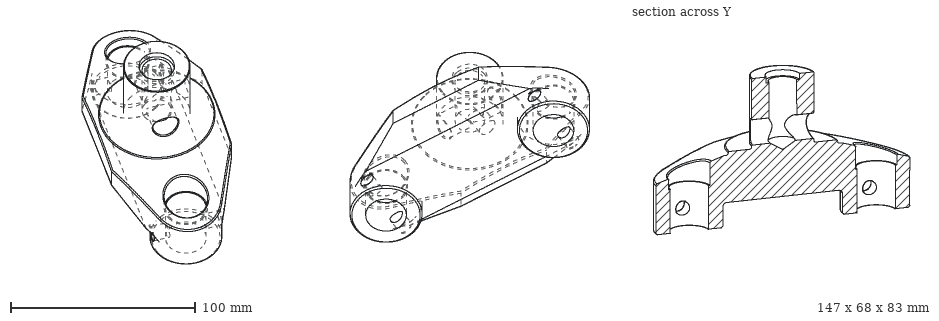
import cadquery as cq
import math

length = 147.0
width = 68.0
flat_half_length = 27.5
foot_radius = 19.5
foot_x = length / 2 - foot_radius

total_height = 83.0
disk_top = 43.0
shoulder_z = 41.0
plate_bottom = 14.0
side_bevel_z = 25.9

cone_angle = 17.0
cone_slope = math.tan(math.radians(cone_angle))
shoulder_radius = width / 2
top_edge_chamfer = 0.7
disk_radius = 31.6
disk_chamfer = 0.6
disk_fillet = 1.2

foot_chamfer = 1.0
foot_fillet = 1.9
foot_bore_radius = 11.0
counterbore_radius = 11.8
counterbore_floor = 25.0
pin_hole_radius = 4.0
pin_hole_z = 10.0
pin_hole_countersink = 0.5

post_radius = 18.1
post_top_chamfer = 0.5
post_base_fillet = 0.9
bore_radius = 8.0
bore_tip_z = 40.9
bore_tip_angle = 118.0
recess_radius = 9.5
recess_depth = 3.4
cross_hole_radius = 7.0
cross_hole_z = 52.3
cross_hole_chamfer = 0.6
rear_hole_radius = 5.0
rear_hole_z = 58.8


def cylinder(radius, bottom, top, x=0.0):
    """Upright cylinder between two heights."""
    return cq.Workplane("XY", origin=(x, 0, bottom)).circle(radius).extrude(top - bottom)


def rod(radius, start, reach, plane):
    """Cylinder from a start point along the normal of the given plane."""
    return cq.Workplane(plane, origin=start).circle(radius).extrude(reach)


def fillet_root(radius, fillet, z, direction, x=0.0):
    """Filleted root at height z of a round boss that rises (+1) or hangs down (-1)."""
    arc_inset = fillet * (1 - math.sqrt(0.5))
    fillet_end = z + direction * fillet
    return (
        cq.Workplane("XZ")
        .moveTo(0, z)
        .lineTo(radius + fillet, z)
        .threePointArc((radius + arc_inset, z + direction * arc_inset), (radius, fillet_end))
        .lineTo(0, fillet_end)
        .close()
        .revolve(360, (0, 0, 0), (0, 1, 0))
        .translate((x, 0, 0))
    )


def straight_prism(top):
    """Octagon from Z = 0: straight sides and the slanted sides up to their tangent points."""
    corner_dx = foot_x - flat_half_length
    corner_distance = math.hypot(corner_dx, width / 2)
    corner_angle = math.atan2(width / 2, -corner_dx)
    tangent_angle = corner_angle - math.acos(foot_radius / corner_distance)
    tangent_x = foot_x + foot_radius * math.cos(tangent_angle)
    tangent_y = foot_radius * math.sin(tangent_angle)
    return (
        cq.Workplane("XY")
        .polyline([
            (-flat_half_length, width / 2),
            (flat_half_length, width / 2),
            (tangent_x, tangent_y),
            (tangent_x, -tangent_y),
            (flat_half_length, -width / 2),
            (-flat_half_length, -width / 2),
            (-tangent_x, -tangent_y),
            (-tangent_x, tangent_y),
        ])
        .close()
        .extrude(top)
    )


def outline_prism(top):
    """Full plate outline from Z = 0: the octagon with round ends."""
    body = straight_prism(top)
    for side in (-1, 1):
        body = body.union(cylinder(foot_radius, 0, top, side * foot_x))
    return body


def plate():
    """Plate with a conical top, a flat shoulder ring and bevelled lower sides."""
    apex_z = shoulder_z + cone_slope * shoulder_radius
    rim_radius = 0.6 * length
    rim_z = apex_z - cone_slope * rim_radius
    under_cone = (
        cq.Workplane("XZ")
        .polyline([(0, 0), (rim_radius, 0), (rim_radius, rim_z), (0, apex_z)])
        .close()
        .revolve(360, (0, 0, 0), (0, 1, 0))
    )
    body = outline_prism(apex_z).intersect(under_cone)
    for side in (-1, 1):
        body = body.cut(cylinder(counterbore_radius, counterbore_floor, apex_z, side * foot_x))
    body = body.faces("%CONE").edges().chamfer(top_edge_chamfer)
    body = body.cut(cylinder(shoulder_radius, shoulder_z, apex_z))

    half_bottom = width / 2 - (side_bevel_z - plate_bottom)
    section = (
        cq.Workplane("YZ")
        .polyline([
            (-half_bottom, plate_bottom),
            (half_bottom, plate_bottom),
            (width / 2, side_bevel_z),
            (width / 2, apex_z),
            (-width / 2, apex_z),
            (-width / 2, side_bevel_z),
        ])
        .close()
        .extrude(length / 2, both=True)
    )
    return body.intersect(section)


def disk():
    """Raised disk with a chamfered rim and a fillet down to the shoulder ring."""
    body = cylinder(disk_radius, shoulder_z, disk_top)
    body = body.faces(">Z").edges().chamfer(disk_chamfer)
    return body.union(fillet_root(disk_radius, disk_fillet, shoulder_z, 1))


def foot(x):
    """Round foot with a chamfered bottom edge and a fillet up to the plate underside."""
    column = cylinder(foot_radius, 0, plate_bottom, x)
    column = column.faces("<Z").edges().chamfer(foot_chamfer)
    root = fillet_root(foot_radius, foot_fillet, plate_bottom, -1, x)
    return column.union(root.intersect(straight_prism(plate_bottom)))


def foot_pin_hole(x):
    """Hole across a foot along Y, countersunk at both ends."""
    overrun = 0.3
    hole_end = foot_radius - pin_hole_countersink
    sink_end = foot_radius + overrun
    sink_radius = pin_hole_radius + pin_hole_countersink + overrun
    return (
        cq.Workplane("XY", origin=(x, 0, pin_hole_z))
        .polyline([
            (0, -sink_end),
            (sink_radius, -sink_end),
            (pin_hole_radius, -hole_end),
            (pin_hole_radius, hole_end),
            (sink_radius, sink_end),
            (0, sink_end),
        ])
        .close()
        .revolve(360, (0, 0, 0), (0, 1, 0))
    )


def post():
    """Post with a chamfered top and a chamfered cross hole along X."""
    body = cylinder(post_radius, disk_top, total_height)
    body = body.faces(">Z").edges().chamfer(post_top_chamfer)

    cross_hole = rod(cross_hole_radius, (-post_radius, 0, cross_hole_z), 2 * post_radius, "YZ")
    body = body.cut(cross_hole)
    body = body.edges("not(%LINE or %CIRCLE)").chamfer(cross_hole_chamfer)
    return body


def post_bore():
    """Blind bore from the post top with a drilled tip and a wider recess at its mouth."""
    cone_height = bore_radius / math.tan(math.radians(bore_tip_angle / 2))
    return (
        cq.Workplane("XZ")
        .moveTo(0, bore_tip_z)
        .lineTo(bore_radius, bore_tip_z + cone_height)
        .lineTo(bore_radius, total_height - recess_depth)
        .lineTo(recess_radius, total_height - recess_depth)
        .lineTo(recess_radius, total_height)
        .lineTo(0, total_height)
        .close()
        .revolve(360, (0, 0, 0), (0, 1, 0))
    )


post_root = fillet_root(post_radius, post_base_fillet, disk_top, 1)
body = plate().union(disk()).union(post()).union(post_root)
body = body.cut(post_bore())
rear_hole = rod(rear_hole_radius, (0, post_radius, rear_hole_z), post_radius, "XZ")
body = body.cut(rear_hole)

for side in (-1, 1):
    x = side * foot_x
    body = body.union(foot(x), clean=False)
    body = body.cut(cylinder(foot_bore_radius, 0, counterbore_floor, x), clean=False)
    body = body.cut(foot_pin_hole(x), clean=False)
result = body